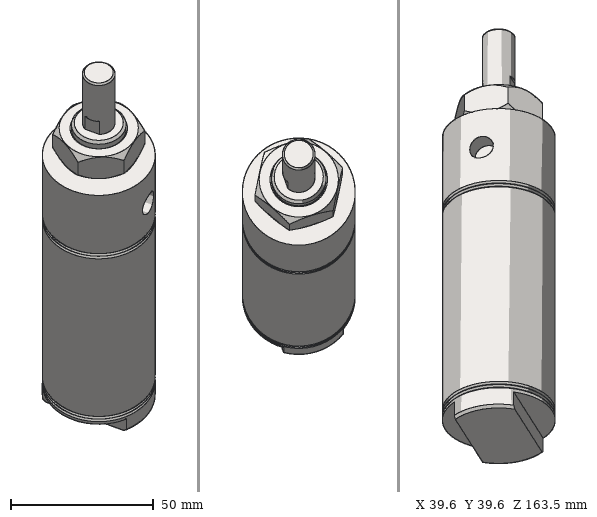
import cadquery as cq
import math

total_height = 163.5
body_diameter = 39.6
body_radius = body_diameter / 2

shoulder_height = 122.0
base_chamfer = 1.0
crimp_groove_width = 1.3
crimp_groove_depth = 0.7
crimp_grooves_per_band = 2
crimp_band_bottoms = (7.7, 90.0)

base_flat_height = 6.4
base_flat_distance = 22.0

port_diameter = 8.7
port_depth = 6.5
port_height = 106.8

neck_diameter = 19.1
neck_radius = neck_diameter / 2
neck_top = 138.2
neck_top_chamfer = 1.0

rod_diameter = 11.5
rod_tip_chamfer = 0.7
rod_flat_distance = 10.0
rod_flat_top = 144.8

nut_bottom = 124.3
nut_height = 11.1
nut_across_flats = 28.0
nut_across_corners = nut_across_flats / math.cos(math.pi / 6)
nut_corner_chamfer = 2.3
nut_bore_chamfer = 0.5


def revolve_profile(points):
    """Solid of revolution about Z from a closed (radius, height) outline."""
    return cq.Workplane("XZ").polyline(points).close().revolve(360, (0, 0, 0), (0, 1, 0))


def cut_flats(body, distance, bottom, top):
    """Cut two flats, facing -Y and +Y, between two heights."""
    for side in (-1, 1):
        waste = cq.Workplane("XY").box(
            body_diameter, body_diameter, top - bottom, centered=(True, True, False)
        )
        offset = side * (distance + body_diameter) / 2
        body = body.cut(waste.translate((0, offset, bottom)))
    return body


def make_crimp_groove(bottom):
    """Ring-shaped cutter for one V groove around the body."""
    return revolve_profile([
        (body_radius, bottom),
        (body_radius, bottom + crimp_groove_width),
        (body_radius - crimp_groove_depth, bottom + crimp_groove_width / 2),
    ])


def make_cylinder_body():
    body = revolve_profile([
        (0, 0),
        (body_radius - base_chamfer, 0),
        (body_radius, base_chamfer),
        (body_radius, shoulder_height),
        (neck_radius, shoulder_height),
        (neck_radius, neck_top - neck_top_chamfer),
        (neck_radius - neck_top_chamfer, neck_top),
        (0, neck_top),
    ])

    for band_bottom in crimp_band_bottoms:
        for index in range(crimp_grooves_per_band):
            body = body.cut(make_crimp_groove(band_bottom + index * crimp_groove_width))

    body = cut_flats(body, base_flat_distance, 0, base_flat_height)

    port = (
        cq.Workplane("YZ", origin=(body_radius - port_depth, 0, port_height))
        .circle(port_diameter / 2)
        .extrude(port_depth)
    )
    return body.cut(port)


def make_rod():
    """Rod standing on the end face of the neck."""
    rod = (
        cq.Workplane("XY", origin=(0, 0, neck_top))
        .circle(rod_diameter / 2)
        .extrude(total_height - neck_top)
        .faces(">Z")
        .chamfer(rod_tip_chamfer)
    )
    return cut_flats(rod, rod_flat_distance, neck_top, rod_flat_top)


def make_nut():
    """Hexagon nut with two flats facing -X and +X."""
    nut_top = nut_bottom + nut_height
    hexagon = (
        cq.Workplane("XY", origin=(0, 0, nut_bottom))
        .polygon(6, nut_across_corners)
        .extrude(nut_height)
        .rotate((0, 0, 0), (0, 0, 1), 90)
    )
    corner_radius = nut_across_corners / 2
    ring = revolve_profile([
        (neck_radius + nut_bore_chamfer, nut_bottom),
        (corner_radius - nut_corner_chamfer, nut_bottom),
        (corner_radius, nut_bottom + nut_corner_chamfer),
        (corner_radius, nut_top - nut_corner_chamfer),
        (corner_radius - nut_corner_chamfer, nut_top),
        (neck_radius + nut_bore_chamfer, nut_top),
        (neck_radius, nut_top - nut_bore_chamfer),
        (neck_radius, nut_bottom + nut_bore_chamfer),
    ])
    return hexagon.intersect(ring)


cylinder_body = make_cylinder_body()
rod = make_rod()
nut = make_nut()

result = cq.Compound.makeCompound([cylinder_body.val(), rod.val(), nut.val()])